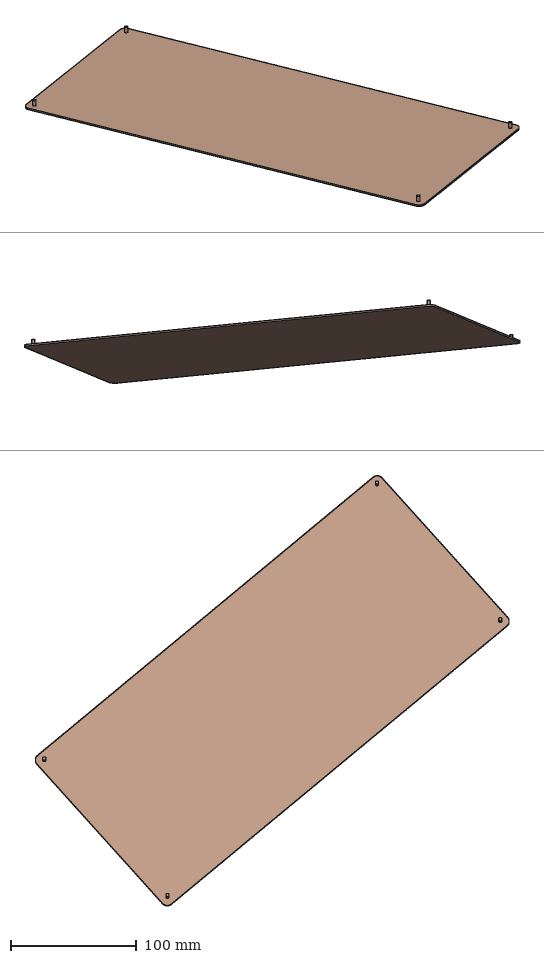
import cadquery as cq

length = 363.0
width = 163.0
total_height = 6.0
plate_thickness = 1.5
corner_radius = 5.0

pin_diameter = 2.7
pin_inset = 6.5
pin_height = total_height - plate_thickness


def make_plate():
    """Flat plate with rounded corners, resting on Z = 0."""
    plate = cq.Workplane("XY").box(length, width, plate_thickness, centered=(True, True, False))
    return plate.edges("|Z").fillet(corner_radius)


def add_pins(plate):
    """Upright round pins on the top face, equally inset from both edges."""
    return (
        plate.faces(">Z")
        .workplane(origin=(0, 0, plate_thickness))
        .rect(length - 2 * pin_inset, width - 2 * pin_inset, forConstruction=True)
        .vertices()
        .circle(pin_diameter / 2)
        .extrude(pin_height)
    )


result = add_pins(make_plate())